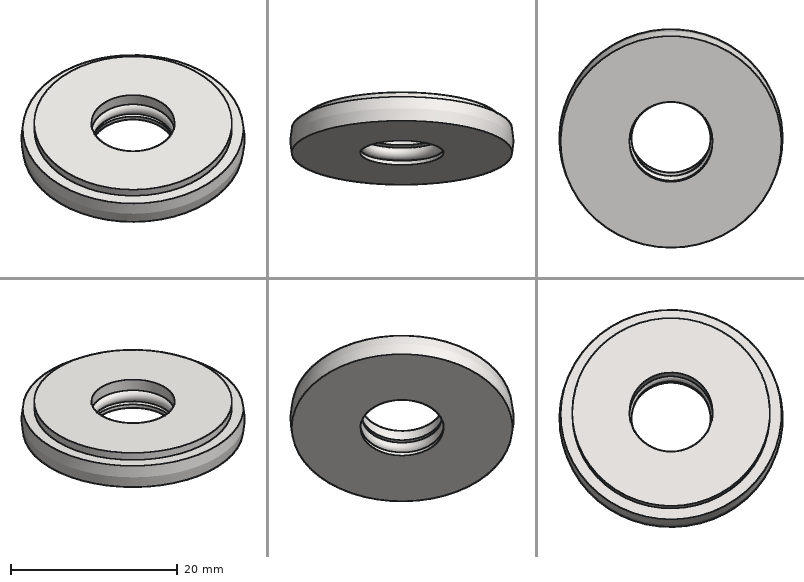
import cadquery as cq
import math

rim_radius = 13.45
flange_height = 3.0
draft_angle = 7.0
face_radius = 11.9
face_height = 1.0
bore_radius = 5.0

seal_section_radius = 0.75
seal_inner_radius = 4.73

parting_z = flange_height / 2
total_height = flange_height + face_height
rim_edge_radius = rim_radius - parting_z * math.tan(math.radians(draft_angle))
seal_center_radius = seal_inner_radius + seal_section_radius

groove_height = 2.0
groove_radius = seal_center_radius + seal_section_radius
groove_bottom_z = parting_z - groove_height / 2
groove_top_z = parting_z + groove_height / 2


def make_housing():
    """Revolve the half section, including the internal seal groove, about Z."""
    outline = [
        (bore_radius, 0),
        (rim_edge_radius, 0),
        (rim_radius, parting_z),
        (rim_edge_radius, flange_height),
        (face_radius, flange_height),
        (face_radius, total_height),
        (bore_radius, total_height),
        (bore_radius, groove_top_z),
        (groove_radius, groove_top_z),
        (groove_radius, groove_bottom_z),
        (bore_radius, groove_bottom_z),
    ]
    return cq.Workplane("XZ").polyline(outline).close().revolve(360, (0, 0), (0, 1))


def make_seal():
    """Revolve the round section about Z to make the ring seated in the groove."""
    return (
        cq.Workplane("XZ")
        .center(seal_center_radius, parting_z)
        .circle(seal_section_radius)
        .revolve(360, (-seal_center_radius, 0), (-seal_center_radius, 1))
    )


housing = make_housing()
seal = make_seal()

result = cq.Compound.makeCompound([housing.val(), seal.val()])